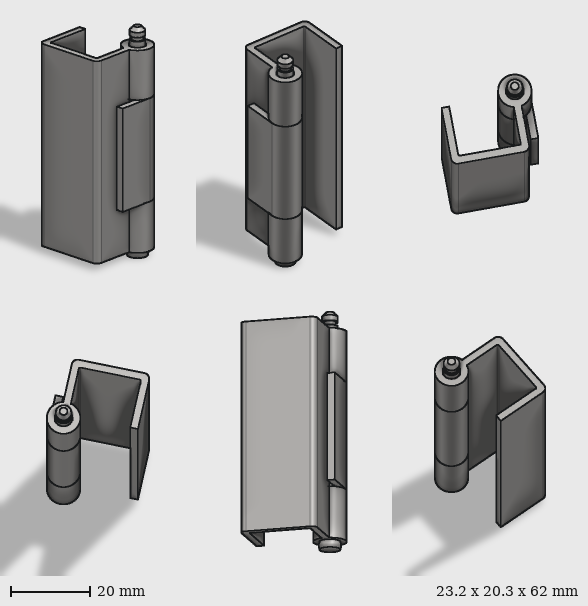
import cadquery as cq

sheet = 2.0
total_width = 23.25
total_depth = 20.3
total_height = 62.0

barrel_dia = 8.5
barrel_radius = barrel_dia / 2
bore_dia = 4.5
axis_x = total_width - barrel_radius
axis_y = total_depth - barrel_radius

head_height = 2.05
channel_height = 54.9
channel_bottom = head_height
channel_top = channel_bottom + channel_height
channel_width = axis_x + sheet / 2
free_wall_depth = 15.0
outer_bend_radius = 1.55
inner_bend_radius = 0.4

leaf_height = 28.0
leaf_bottom = channel_bottom + (channel_height - leaf_height) / 2
leaf_front_y = 6.0

pin_dia = 4.0
pin_radius = pin_dia / 2
groove_radius = 3.05 / 2
groove_start = 1.5
groove_width = 1.1
tip_radius = 2.0 / 2
tip_height = 1.1
head_end_radius = 2.65
head_bulge = 0.2


def cylinder(radius, bottom, height):
    """Vertical cylinder on the hinge axis."""
    return cq.Workplane("XY", origin=(axis_x, axis_y, bottom)).circle(radius).extrude(height)


def block(x_min, y_min, x_max, y_max, bottom, height):
    """Upright box given by two opposite plan corners."""
    return (
        cq.Workplane("XY", origin=(x_min, y_min, bottom))
        .rect(x_max - x_min, y_max - y_min, centered=False)
        .extrude(height)
    )


def make_channel():
    """U-channel whose right wall carries a barrel, interrupted for the leaf."""
    profile = [
        (0, 0),
        (channel_width, 0),
        (channel_width, axis_y),
        (channel_width - sheet, axis_y),
        (channel_width - sheet, sheet),
        (sheet, sheet),
        (sheet, free_wall_depth),
        (0, free_wall_depth),
    ]
    walls = cq.Workplane("XY", origin=(0, 0, channel_bottom)).polyline(profile).close().extrude(channel_height)

    corner_tolerance = 0.05
    for inset, radius in ((0, outer_bend_radius), (sheet, inner_bend_radius)):
        corners = cq.selectors.BoxSelector(
            (inset - corner_tolerance, inset - corner_tolerance, channel_bottom),
            (channel_width - inset + corner_tolerance, inset + corner_tolerance, channel_top),
        )
        walls = walls.edges("|Z").edges(corners).fillet(radius)

    barrel = cylinder(barrel_radius, channel_bottom, channel_height)
    leaf_gap = cylinder(barrel_radius, leaf_bottom, leaf_height)
    bore = cylinder(bore_dia / 2, channel_bottom, channel_height)
    return walls.union(barrel).cut(leaf_gap).cut(bore)


def make_leaf():
    """Middle barrel with a flat strip tangent to its right side."""
    barrel = cylinder(barrel_radius, leaf_bottom, leaf_height)
    strip = block(total_width - sheet, leaf_front_y, total_width, axis_y, leaf_bottom, leaf_height)
    bore = cylinder(bore_dia / 2, leaf_bottom, leaf_height)
    return barrel.union(strip).cut(bore)


def make_pin():
    """Headed pin with a retaining groove and a conical tip."""
    groove_bottom = channel_top + groove_start
    groove_top = groove_bottom + groove_width
    return (
        cq.Workplane("XZ")
        .moveTo(0, 0)
        .lineTo(head_end_radius, 0)
        .threePointArc((head_end_radius + head_bulge, head_height / 2), (head_end_radius, head_height))
        .lineTo(pin_radius, head_height)
        .lineTo(pin_radius, groove_bottom)
        .lineTo(groove_radius, groove_bottom)
        .lineTo(groove_radius, groove_top)
        .lineTo(pin_radius, groove_top)
        .lineTo(pin_radius, total_height - tip_height)
        .lineTo(tip_radius, total_height)
        .lineTo(0, total_height)
        .close()
        .revolve(360, (0, 0, 0), (0, 1, 0))
        .translate((axis_x, axis_y, 0))
    )


channel = make_channel()
leaf = make_leaf()
pin = make_pin()

result = cq.Compound.makeCompound([channel.val(), leaf.val(), pin.val()])